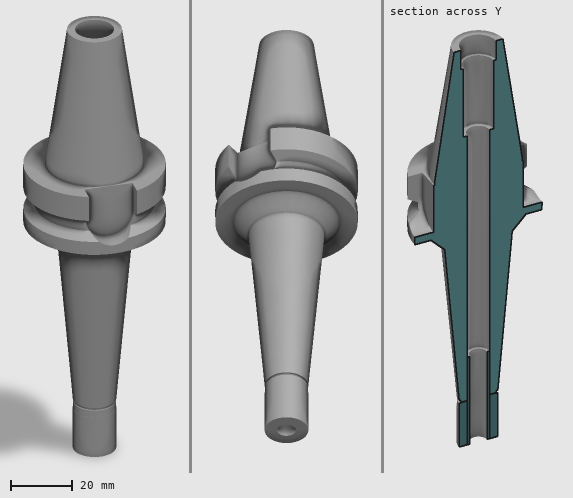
import cadquery as cq


top_height = 153.4

taper_length = 48.5
taper_ratio = 7 / 24
gauge_radius = 16.0
taper_top_radius = gauge_radius - taper_length * taper_ratio / 2
taper_base_height = top_height - taper_length

flange_radius = 23.0
flange_top_height = 104.2
flange_bottom_height = 83.0
groove_radius = 19.5
groove_top_height = 95.4
groove_bottom_height = 87.7
groove_floor_width = 3.4
groove_middle_height = (groove_top_height + groove_bottom_height) / 2
groove_floor_top_height = groove_middle_height + groove_floor_width / 2
groove_floor_bottom_height = groove_middle_height - groove_floor_width / 2

slot_width = 16.1
slot_depth = 18.1
slot_floor_distance = 16.3

collar_radius = 17.2
neck_top_radius = 12.3
neck_top_height = 78.0
neck_bottom_radius = 7.0
neck_bottom_height = 18.0
relief_radius = 6.5

nut_radius = 7.0
nut_height = 17.0
nut_rim_step = 0.05
nut_rim_radius = nut_radius - nut_rim_step
nut_rim_height = 2.5

pull_stud_bore_radius = 6.3
pull_stud_bore_depth = 7.4
thread_bore_radius = 5.4
thread_bore_depth = 33.7
collet_radius = 4.0
collet_bore_radius = 3.0
collet_length = 2 * nut_height


def bore(radius, bottom, top):
    """A cylinder on the Z axis between two heights."""
    return cq.Workplane("XY").workplane(offset=bottom).circle(radius).extrude(top - bottom)


def revolve_outline(points):
    """A solid of revolution about Z from (radius, height) points."""
    return cq.Workplane("XZ").polyline(points).close().revolve(360, (0, 0, 0), (0, 1, 0))


def drive_slot():
    """Cutter for the slot on the +X side: open at the top, round at the bottom."""
    end_radius = slot_width / 2
    end_center_height = flange_top_height - slot_depth + end_radius
    return (
        cq.Workplane("YZ")
        .workplane(offset=slot_floor_distance)
        .moveTo(-end_radius, flange_top_height)
        .lineTo(-end_radius, end_center_height)
        .threePointArc((0, end_center_height - end_radius), (end_radius, end_center_height))
        .lineTo(end_radius, flange_top_height)
        .close()
        .extrude(flange_radius - slot_floor_distance)
    )


def make_holder():
    """Taper shank, flange and neck in one piece, bored through along the axis."""
    holder = revolve_outline([
        (0, top_height),
        (taper_top_radius, top_height),
        (gauge_radius, taper_base_height),
        (gauge_radius, flange_top_height),
        (flange_radius, flange_top_height),
        (flange_radius, groove_top_height),
        (groove_radius, groove_floor_top_height),
        (groove_radius, groove_floor_bottom_height),
        (flange_radius, groove_bottom_height),
        (flange_radius, flange_bottom_height),
        (collar_radius, flange_bottom_height),
        (neck_top_radius, neck_top_height),
        (neck_bottom_radius, neck_bottom_height),
        (relief_radius, neck_bottom_height),
        (relief_radius, nut_height),
        (0, nut_height),
    ])
    for angle in (0, 180):
        holder = holder.cut(drive_slot().rotate((0, 0, 0), (0, 0, 1), angle))
    holder = holder.cut(bore(pull_stud_bore_radius, top_height - pull_stud_bore_depth, top_height))
    holder = holder.cut(bore(thread_bore_radius, top_height - thread_bore_depth, top_height))
    return holder.cut(bore(collet_radius, nut_height, top_height))


def make_nut():
    """Round nut against the end of the holder, with a slimmer rim at its upper end."""
    shoulder_height = nut_height - nut_rim_height
    nut = bore(nut_radius, 0, shoulder_height).union(bore(nut_rim_radius, shoulder_height, nut_height))
    return nut.cut(bore(collet_radius, 0, nut_height))


def make_collet():
    """Plain sleeve that runs through the nut and up into the holder."""
    return bore(collet_radius, 0, collet_length).cut(bore(collet_bore_radius, 0, collet_length))


holder = make_holder()
nut = make_nut()
collet = make_collet()

result = cq.Compound.makeCompound([holder.val(), nut.val(), collet.val()])